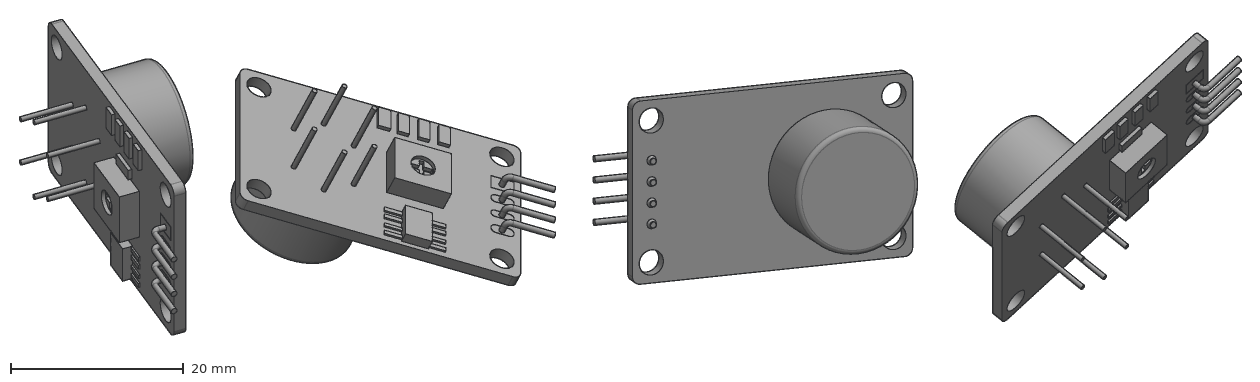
import cadquery as cq


board_width = 35.0
board_height = 22.0
board_thickness = 1.5
corner_radius = 1.0
mount_hole_diameter = 3.0
mount_hole_x = 15.15
mount_hole_z = 8.5

can_diameter = 15.25
can_height = 8.9
can_edge_radius = 0.58
can_x = -7.1
leg_diameter = 0.6
leg_reach = 6.6
outer_leg_x = 3.75
outer_leg_z = 3.2
top_leg_z = 5.45
bottom_leg_z = -5.6
leg_offsets = [(side * outer_leg_x, level * outer_leg_z) for side in (-1, 1) for level in (-1, 1)]
leg_offsets += [(0, bottom_leg_z), (0, top_leg_z)]
leg_points = [(can_x + x, z) for x, z in leg_offsets]

chip_thickness = 0.45
chip_row_top = 10.4
row_chips = [(-0.42, 1.55, 3.05), (2.05, 1.4, 3.05), (4.6, 1.4, 3.05), (7.13, 1.4, 2.93)]

lone_chip_left = 2.4
lone_chip_bottom = 4.12
lone_chip_width = 3.35
lone_chip_height = 1.4

trimmer_left = 0.77
trimmer_bottom = -2.95
trimmer_width = 7.05
trimmer_height = 6.75
trimmer_thickness = 2.55
screw_x = 4.3
screw_z = 0.42
screw_diameter = 3.0
screw_depth = 0.5
slot_depth = 0.5
slot_across = (2.65, 0.7)
slot_upright = (0.58, 2.45)

ic_left = 2.62
ic_bottom = -10.4
ic_width = 3.35
ic_height = 4.78
ic_thickness = 1.27
lead_left = 0.42
lead_span = 7.65
lead_thickness = 0.25
ic_leads = [(-6.32, 0.58), (-7.48, 0.58), (-8.85, 0.45), (-10.17, 0.55)]

pin_count = 4
pin_pitch = 2.55
top_pin_z = 3.75
pin_x = 15.1
pin_diameter = 0.75
pin_axis_reach = 1.6
pin_bend_radius = 0.7
pin_tip_x = 21.05
pin_back_reach = 0.58
pin_points = [(pin_x, top_pin_z - i * pin_pitch) for i in range(pin_count)]

pad_thickness = 0.05
pad_left = 13.75
pad_length = 2.9
square_pad_bottom = 2.85
square_pad_height = 1.95
round_pads = [(0.65, 1.15), (-1.8, 1.05), (-4.47, 1.27)]
solder_base_diameter = 1.15
solder_height = 0.4


def block(left, bottom, width, height, thickness):
    """Rectangular block standing on the component side of the board."""
    return cq.Workplane("XZ").rect(width, height).extrude(thickness).translate(
        (left + width / 2, 0, bottom + height / 2)
    )


def rounded_pad(bottom, height):
    """Pad with semicircular ends."""
    pad = cq.Workplane("XZ").slot2D(pad_length, height).extrude(pad_thickness)
    return pad.translate((pad_left + pad_length / 2, 0, bottom + height / 2))


def make_trimmer():
    trimmer = block(trimmer_left, trimmer_bottom, trimmer_width, trimmer_height, trimmer_thickness)
    recess_floor = trimmer_thickness - screw_depth
    screw_plane = cq.Workplane("XZ", origin=(screw_x, -recess_floor, screw_z))
    trimmer = trimmer.cut(screw_plane.circle(screw_diameter / 2).extrude(screw_depth))
    for width, height in (slot_across, slot_upright):
        trimmer = trimmer.cut(screw_plane.rect(width, height).extrude(-slot_depth))
    return trimmer


def make_ic():
    ic = block(ic_left, ic_bottom, ic_width, ic_height, ic_thickness)
    for bottom, height in ic_leads:
        ic = ic.union(block(lead_left, bottom, lead_span, height, lead_thickness))
    return ic


def make_pads():
    pads = [block(pad_left, square_pad_bottom, pad_length, square_pad_height, pad_thickness)]
    pads += [rounded_pad(bottom, height) for bottom, height in round_pads]
    return pads


def make_solder_cone(x, z):
    back = cq.Workplane("XZ", origin=(x, board_thickness, z))
    cone = back.circle(solder_base_diameter / 2).workplane(offset=-solder_height)
    return cone.circle(pin_diameter / 2).loft()


def make_board():
    board = cq.Workplane("XZ").rect(board_width, board_height).extrude(-board_thickness)
    board = board.edges("|Y").fillet(corner_radius)
    mount_holes = cq.Workplane("XZ").rect(2 * mount_hole_x, 2 * mount_hole_z, forConstruction=True)
    board = board.cut(mount_holes.vertices().circle(mount_hole_diameter / 2).extrude(-board_thickness))

    parts = [block(left, chip_row_top - height, width, height, chip_thickness)
             for left, width, height in row_chips]
    parts.append(block(lone_chip_left, lone_chip_bottom, lone_chip_width, lone_chip_height, chip_thickness))
    parts += [make_trimmer(), make_ic()]
    parts += make_pads()
    parts += [make_solder_cone(x, z) for x, z in pin_points]
    for part in parts:
        board = board.union(part)

    back_plane = cq.Workplane("XZ", origin=(0, board_thickness + solder_height, 0))
    hole_depth = board_thickness + solder_height + pad_thickness
    board = board.cut(back_plane.pushPoints(leg_points).circle(leg_diameter / 2).extrude(hole_depth))
    return board.cut(back_plane.pushPoints(pin_points).circle(pin_diameter / 2).extrude(hole_depth))


def make_sensor():
    can = cq.Workplane("XZ", origin=(can_x, board_thickness, 0)).circle(can_diameter / 2)
    can = can.extrude(-can_height).faces(">Y").edges().fillet(can_edge_radius)
    legs = cq.Workplane("XZ", origin=(0, board_thickness, 0)).pushPoints(leg_points)
    legs = legs.circle(leg_diameter / 2).extrude(board_thickness + leg_reach)
    return can.union(legs)


def make_pin(x, z):
    """Round pin that leaves the board towards -Y and bends towards +X."""
    tail_y = board_thickness + pin_back_reach
    path = (
        cq.Workplane("XY", origin=(x, 0, z))
        .moveTo(0, tail_y)
        .lineTo(0, pin_bend_radius - pin_axis_reach)
        .radiusArc((pin_bend_radius, -pin_axis_reach), -pin_bend_radius)
        .lineTo(pin_tip_x - x, -pin_axis_reach)
    )
    return cq.Workplane("XZ", origin=(x, tail_y, z)).circle(pin_diameter / 2).sweep(path)


board = make_board()
sensor = make_sensor()
pins = [make_pin(x, z) for x, z in pin_points]

result = cq.Compound.makeCompound([board.val(), sensor.val(), *[pin.val() for pin in pins]])